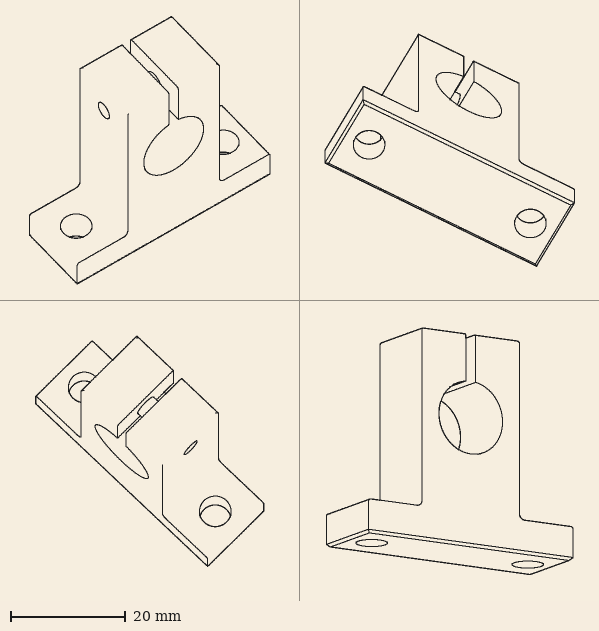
import cadquery as cq

width = 14.0
base_length = 42.0
total_height = 38.0
base_height = 6.0
column_length = 20.0

bore_diameter = 13.0
bore_height = 23.0
slot_width = 2.0

screw_height = 33.0
screw_diameter = 4.0
screw_hole_diameter = 3.25
screw_tip_depth = 4.0
screw_tip_chamfer = 0.5

mount_hole_diameter = 5.5
mount_hole_spacing = 32.0

edge_radius = 0.5
bottom_chamfer = 0.5
foot_radius = 1.0


def make_body():
    """Inverted-T block with broken outer edges and rounded inside corners."""
    base = cq.Workplane("XY").box(width, base_length, base_height, centered=(True, True, False))
    column = cq.Workplane("XY").box(width, column_length, total_height, centered=(True, True, False))
    body = base.union(column)

    body = body.faces("<Z").edges().chamfer(bottom_chamfer)
    body = body.faces(">Z").edges().fillet(edge_radius)

    foot_top = cq.selectors.BoxSelector(
        (-width, -base_length, base_height - edge_radius / 2),
        (width, base_length, base_height + edge_radius / 2),
    )
    foot_edges = body.edges("|X").edges(foot_top)
    body = foot_edges.edges("<Y or >Y").fillet(edge_radius)
    inside_corners = cq.selectors.BoxSelector(
        (-width, -column_length / 2 - foot_radius, base_height - edge_radius / 2),
        (width, column_length / 2 + foot_radius, base_height + edge_radius / 2),
    )
    return body.edges("|X").edges(inside_corners).fillet(foot_radius)


def make_clamp_opening():
    """Shaft bore and the slot that opens it to the top."""
    bore = (
        cq.Workplane("YZ")
        .center(0, bore_height)
        .circle(bore_diameter / 2)
        .extrude(width / 2, both=True)
    )
    slot = (
        cq.Workplane("XY")
        .workplane(offset=bore_height)
        .rect(width, slot_width)
        .extrude(total_height - bore_height)
    )
    return bore.union(slot)


def make_mount_holes():
    return (
        cq.Workplane("XY")
        .pushPoints([(0, -mount_hole_spacing / 2), (0, mount_hole_spacing / 2)])
        .circle(mount_hole_diameter / 2)
        .extrude(base_height)
    )


def make_screw():
    """Screw that bridges the slot and ends in a chamfered tip inside the screw hole."""
    screw_length = column_length / 2 + slot_width / 2 - screw_tip_depth
    return (
        cq.Workplane("XZ", origin=(0, slot_width / 2, screw_height))
        .circle(screw_diameter / 2)
        .extrude(screw_length)
        .faces("<Y")
        .chamfer(screw_tip_chamfer)
    )


def make_screw_hole():
    """Hole from the -Y side of the column to the slot, in line with the screw."""
    return (
        cq.Workplane("XZ", origin=(0, 0, screw_height))
        .circle(screw_hole_diameter / 2)
        .extrude(column_length / 2)
    )


result = (
    make_body()
    .cut(make_clamp_opening())
    .cut(make_mount_holes())
    .cut(make_screw_hole())
    .union(make_screw())
)